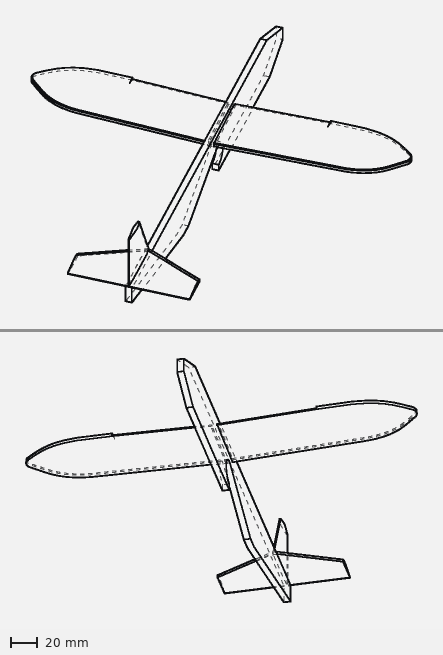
import cadquery as cq
import math

LENGTH = 350.0
NOSE_Y = LENGTH / 2
TAIL_Y = -LENGTH / 2

BODY_WIDTH = 5.2
BODY_HEIGHT = 40.2
NOSE_LOW_Z = 13.0
NOSE_HIGH_Z = 24.0
NOSE_BOTTOM_RUN = 30.0
NOSE_TOP_RUN = 37.0
TAIL_LOW_Z = 26.0
KEEL_FRONT_Y = NOSE_Y - 218.5
KEEL_BACK_Y = NOSE_Y - 230.3
NOTCH_Y = NOSE_Y - 148.8
NOTCH_RADIUS = 9.8
NOTCH_LIP = 5.5

WING_SPAN = 299.5
WING_CHORD = 49.7
WING_THICKNESS = 3.0
WING_FRONT_Y = NOSE_Y - 110.0
WING_FRONT_Z = 33.2
DIHEDRAL = 1.9
WING_ROLL = 0.4
INCIDENCE = 2.5
FRONT_STRAIGHT_X = 78.5
BACK_STRAIGHT_X = 104.0
TIP_SETBACK = 24.5
TIP_RADIUS = 6.3
TIP_ANGLE = 50.0
CURVE_MID_X = 135.0
FRONT_MID_SETBACK = 10.0
BACK_MID_SETBACK = 40.2
RIM_CHAMFER = 0.7
NOSING_DEPTH = 7.7
NOSING_DROP = 2.0

TAIL_THICKNESS = 3.0
TRAILING_THICKNESS = 0.7
FLAP_CHORD = 14.0
TAIL_ROOT_CHORD = 44.8
STAB_SPAN = 96.2
STAB_TIP_CHORD = 23.0
STAB_BEVEL = 3.5
FIN_TOP_Z = 85.0
FIN_TIP_CHORD = 23.5
FIN_BEVEL = 7.0
BEVEL_DROP = 1.0

CUT_MARGIN = 3.5
CUTTER_OVERRUN = 14.0


def make_fuselage():
    """Flat plate with a round notch under the wing that runs out along a tangent line."""
    notch_z = NOTCH_LIP + NOTCH_RADIUS
    reach = math.hypot(NOTCH_Y - KEEL_FRONT_Y, notch_z)
    normal = math.acos(NOTCH_RADIUS / reach) - math.atan2(notch_z, NOTCH_Y - KEEL_FRONT_Y)
    tangent_y = NOTCH_Y - NOTCH_RADIUS * math.cos(normal)
    tangent_z = notch_z + NOTCH_RADIUS * math.sin(normal)
    return (
        cq.Workplane("YZ")
        .moveTo(NOSE_Y, NOSE_LOW_Z)
        .lineTo(NOSE_Y, NOSE_HIGH_Z)
        .lineTo(NOSE_Y - NOSE_TOP_RUN, BODY_HEIGHT)
        .lineTo(TAIL_Y, BODY_HEIGHT)
        .lineTo(TAIL_Y, TAIL_LOW_Z)
        .lineTo(KEEL_BACK_Y, 0)
        .lineTo(KEEL_FRONT_Y, 0)
        .lineTo(tangent_y, tangent_z)
        .threePointArc((NOTCH_Y + NOTCH_RADIUS, notch_z), (NOTCH_Y, NOTCH_LIP))
        .lineTo(NOTCH_Y, 0)
        .lineTo(NOSE_Y - NOSE_BOTTOM_RUN, 0)
        .close()
        .extrude(BODY_WIDTH / 2, both=True)
    )


def make_flat_panel():
    """Right half of the wing, lying flat with its leading edge on the X axis."""
    tip_x = WING_SPAN / 2 / math.cos(math.radians(DIHEDRAL))
    tip_angle = math.radians(TIP_ANGLE)
    round_x = tip_x - TIP_RADIUS * (1 - math.cos(tip_angle))
    round_y = TIP_RADIUS * math.sin(tip_angle)
    tip_heading = (math.sin(tip_angle), -math.cos(tip_angle))
    back_heading = (-math.sin(tip_angle), -math.cos(tip_angle))
    panel = (
        cq.Workplane("XY")
        .moveTo(-CUT_MARGIN, 0)
        .lineTo(FRONT_STRAIGHT_X, 0)
        .spline(
            [(CURVE_MID_X, -FRONT_MID_SETBACK), (round_x, round_y - TIP_SETBACK)],
            tangents=[(1, 0), tip_heading],
            includeCurrent=True,
        )
        .threePointArc((tip_x, -TIP_SETBACK), (round_x, -round_y - TIP_SETBACK))
        .spline(
            [(CURVE_MID_X, -BACK_MID_SETBACK), (BACK_STRAIGHT_X, -WING_CHORD)],
            tangents=[back_heading, (-1, 0)],
            includeCurrent=True,
        )
        .lineTo(-CUT_MARGIN, -WING_CHORD)
        .close()
        .extrude(WING_THICKNESS)
        .faces(">Z")
        .edges("not <X")
        .chamfer(RIM_CHAMFER)
    )
    return panel.cut(make_nosing_cutter())


def make_nosing_cutter():
    """Waste above the rounded stretch of leading edge, which meets the top surface smoothly."""
    radius = (NOSING_DEPTH**2 + NOSING_DROP**2) / (2 * NOSING_DROP)
    mid_angle = math.asin(NOSING_DEPTH / radius) / 2
    mid_y = radius * math.sin(mid_angle) - NOSING_DEPTH
    mid_z = WING_THICKNESS - radius * (1 - math.cos(mid_angle))
    return (
        cq.Workplane("YZ", origin=(-CUT_MARGIN, 0, 0))
        .moveTo(-NOSING_DEPTH, WING_THICKNESS)
        .threePointArc((mid_y, mid_z), (0, WING_THICKNESS - NOSING_DROP))
        .lineTo(CUT_MARGIN, WING_THICKNESS - NOSING_DROP)
        .lineTo(CUT_MARGIN, WING_THICKNESS)
        .close()
        .extrude(FRONT_STRAIGHT_X + CUT_MARGIN)
    )


def make_wing():
    """Two mirrored panels raised to a shallow V, pitched nose up and rolled slightly to the right."""
    panel = make_flat_panel().rotate((0, 0, 0), (0, 1, 0), -DIHEDRAL)
    panel = panel.rotate((0, 0, 0), (1, 0, 0), INCIDENCE)
    panel = panel.translate((0, WING_FRONT_Y, WING_FRONT_Z))
    right_side = cq.Workplane("XY").box(LENGTH, LENGTH, LENGTH, centered=(False, True, True))
    panel = panel.intersect(right_side)
    wing = panel.union(panel.mirror("YZ"))
    return wing.rotate((0, 0, WING_FRONT_Z), (0, 1, WING_FRONT_Z), WING_ROLL)


def make_bevel_cutter(start, end, bevel):
    """Wedge along a leading edge from start to end; bevel is its width along Y.

    It lies in a plan with the top surface at TAIL_THICKNESS.
    """
    run_x = end[0] - start[0]
    run_y = end[1] - start[1]
    edge_length = math.hypot(run_x, run_y)
    width = bevel * abs(run_x) / edge_length
    along = cq.Vector(run_x / edge_length, run_y / edge_length, 0)
    outward = cq.Vector(-along.y, along.x, 0)
    overrun = along * CUTTER_OVERRUN
    plane = cq.Plane(origin=(cq.Vector(*start) - overrun).toTuple(), xDir=outward, normal=along)
    slope = BEVEL_DROP / width
    return (
        cq.Workplane(plane)
        .polyline([
            (-width, TAIL_THICKNESS),
            (CUT_MARGIN, TAIL_THICKNESS - BEVEL_DROP - slope * CUT_MARGIN),
            (CUT_MARGIN, TAIL_THICKNESS),
        ])
        .close()
        .extrude(edge_length + 2 * CUTTER_OVERRUN)
    )


def make_flap_cutter(length, drop):
    """Wedge that thins the top of a tail surface from the hinge line to the trailing edge."""
    return (
        cq.Workplane("YZ")
        .polyline([
            (TAIL_Y + FLAP_CHORD, TAIL_THICKNESS),
            (TAIL_Y, TAIL_THICKNESS),
            (TAIL_Y, TAIL_THICKNESS - drop),
        ])
        .close()
        .extrude(length)
    )


def make_tail_half(root_x, tip_x, tip_chord, bevel, flap_drop):
    """One flat tail surface, from X = 0 out to tip_x, with its bevel and thinned flap."""
    root = (root_x, TAIL_Y + TAIL_ROOT_CHORD)
    tip = (tip_x, TAIL_Y + tip_chord)
    blade = (
        cq.Workplane("XY")
        .polyline([(0, TAIL_Y), (0, root[1]), root, tip, (tip_x, TAIL_Y)])
        .close()
        .extrude(TAIL_THICKNESS)
    )
    blade = blade.cut(make_bevel_cutter(root, tip, bevel))
    return blade.cut(make_flap_cutter(tip_x, flap_drop))


def make_fin():
    """Upright blade, bevelled and thinned alike on both sides."""
    height = FIN_TOP_Z - BODY_HEIGHT
    flap_drop = (TAIL_THICKNESS - TRAILING_THICKNESS) / 2
    blade = make_tail_half(TAIL_THICKNESS, height, FIN_TIP_CHORD, FIN_BEVEL, flap_drop)
    underside = blade.mirror("XY").translate((0, 0, TAIL_THICKNESS))
    blade = blade.intersect(underside)
    blade = blade.rotate((0, 0, 0), (0, 1, 0), -90)
    return blade.translate((TAIL_THICKNESS / 2, 0, BODY_HEIGHT))


def make_tail():
    """Stabilizer lying on the fuselage, with the fin standing on its centre line."""
    flap_drop = TAIL_THICKNESS - TRAILING_THICKNESS
    half = make_tail_half(BODY_WIDTH / 2, STAB_SPAN / 2, STAB_TIP_CHORD, STAB_BEVEL, flap_drop)
    stabilizer = half.union(half.mirror("YZ")).translate((0, 0, BODY_HEIGHT))
    return stabilizer.union(make_fin())


wing = make_wing()
fuselage = make_fuselage().cut(wing)
tail = make_tail()

result = cq.Compound.makeCompound([*fuselage.solids().vals(), *wing.solids().vals(), *tail.solids().vals()])